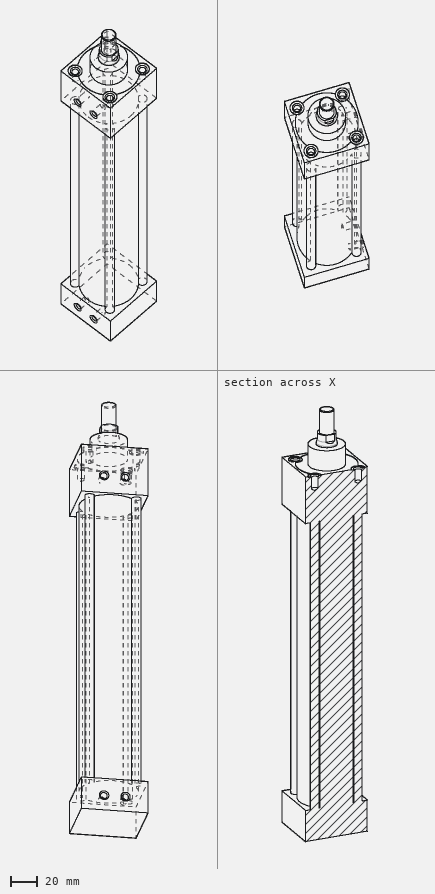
import cadquery as cq

total_height = 339.7
block_width = 51.0

rear_cap_height = 25.5
front_cap_top = 295.5
front_cap_height = 38.0
front_cap_bottom = front_cap_top - front_cap_height
boss_top = 311.5

tube_diameter = 45.0
boss_diameter = 28.2
tie_rod_diameter = 7.0
tie_rod_spacing = 35.7

seat_diameter = 47.2
screw_seat_diameter = 10.5
seat_depth = 0.5
screw_seat_depth = 0.7

mouth_diameter = 7.0
bore_diameter = 5.0
mouth_depth = (mouth_diameter - bore_diameter) / 2
bore_depth = 10.2
point_depth = 1.5

port_spacing = 16.3
front_port_drop = 24.0
front_port_height = front_cap_top - front_port_drop
rear_port_height = 12.0

rod_diameter = 16.0
collar_diameter = 14.3
thread_diameter = 11.2
thread_length = 18.7
tip_chamfer = 0.7
shoulder_height = total_height - thread_length
cone_top = 315.5
cone_bottom = 312.5
across_flats = 12.5
cut_clearance = 0.5


def cylinder(diameter, bottom, top):
    return cq.Workplane("XY", origin=(0, 0, bottom)).circle(diameter / 2).extrude(top - bottom)


def cap(bottom, top):
    square = cq.Workplane("XY", origin=(0, 0, bottom)).rect(block_width, block_width)
    return square.extrude(top - bottom)


def at_tie_rods(height):
    """Return a workplane at the given height with a point on each tie-rod axis."""
    square = cq.Workplane("XY", origin=(0, 0, height)).rect(
        tie_rod_spacing, tie_rod_spacing, forConstruction=True
    )
    return square.vertices()


def threaded_hole():
    """Return a hole cutter that starts at the origin and points down."""
    profile = [
        (0, 0),
        (mouth_diameter / 2, 0),
        (bore_diameter / 2, -mouth_depth),
        (bore_diameter / 2, -bore_depth),
        (0, -bore_depth - point_depth),
    ]
    return cq.Workplane("XZ").polyline(profile).close().revolve(360, (0, 0, 0), (0, 1, 0))


def make_housing():
    body = cap(0, rear_cap_height).union(cap(front_cap_bottom, front_cap_top))
    body = body.union(cylinder(tube_diameter, rear_cap_height, front_cap_bottom))
    tie_rods = at_tie_rods(rear_cap_height).circle(tie_rod_diameter / 2)
    body = body.union(tie_rods.extrude(front_cap_bottom - rear_cap_height))

    seat_floor = front_cap_top - seat_depth
    body = body.cut(cylinder(seat_diameter, seat_floor, front_cap_top))
    body = body.cut(at_tie_rods(front_cap_top).circle(screw_seat_diameter / 2).extrude(-screw_seat_depth))
    body = body.union(cylinder(boss_diameter, seat_floor, boss_top))

    half_spacing = tie_rod_spacing / 2
    for x in (-half_spacing, half_spacing):
        for y in (-half_spacing, half_spacing):
            body = body.cut(threaded_hole().translate((x, y, front_cap_top - screw_seat_depth)))

    port = threaded_hole().rotate((0, 0, 0), (1, 0, 0), 90)
    for height in (front_port_height, rear_port_height):
        for x in (-port_spacing / 2, port_spacing / 2):
            body = body.cut(port.translate((x, -block_width / 2, height)))
    return body


def make_piston_rod():
    profile = [
        (0, boss_top),
        (rod_diameter / 2, boss_top),
        (rod_diameter / 2, cone_bottom),
        (collar_diameter / 2, cone_top),
        (collar_diameter / 2, shoulder_height),
        (thread_diameter / 2, shoulder_height),
        (thread_diameter / 2, total_height - tip_chamfer),
        (thread_diameter / 2 - tip_chamfer, total_height),
        (0, total_height),
    ]
    rod = cq.Workplane("XZ").polyline(profile).close().revolve(360, (0, 0, 0), (0, 1, 0))

    flat_x = across_flats / 2
    reach = rod_diameter / 2 + cut_clearance
    cut_profile = [
        (flat_x, shoulder_height),
        (flat_x, cone_top),
        (reach, cone_top - (reach - flat_x)),
        (reach, shoulder_height),
    ]
    flat = cq.Workplane("XZ").polyline(cut_profile).close().extrude(rod_diameter / 2, both=True)
    return rod.cut(flat).cut(flat.mirror("YZ"))


housing = make_housing()
piston_rod = make_piston_rod()
result = cq.Compound.makeCompound([housing.val(), piston_rod.val()])